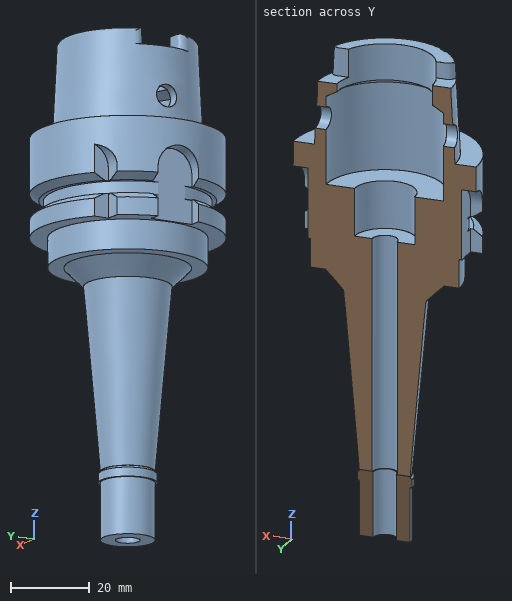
import cadquery as cq
import math

TOTAL_HEIGHT = 130.0
SHANK_LENGTH = 25.0
FLANGE_LENGTH = 26.0
BOSS_LENGTH = 7.8
NUT_TOP_Z = 18.0

FLANGE_TOP_Z = TOTAL_HEIGHT - SHANK_LENGTH
FLANGE_BOTTOM_Z = FLANGE_TOP_Z - FLANGE_LENGTH
BOSS_BOTTOM_Z = FLANGE_BOTTOM_Z - BOSS_LENGTH

SHANK_BASE_RADIUS = 19.2
SHANK_TAPER = 0.05
SHANK_TOP_RADIUS = SHANK_BASE_RADIUS - SHANK_TAPER * SHANK_LENGTH
RIM_FILLET = 1.0

DRIVE_SLOT_WIDTH = 10.4
DRIVE_SLOT_FILLET = 1.8
SHALLOW_SLOT_DEPTH = 4.4
DEEP_SLOT_DEPTH = 7.7

MOUTH_RADIUS = 13.0
MOUTH_DEPTH = 9.9
CLAMP_RADIUS = 16.0
CLAMP_FLOOR_DEPTH = 35.5
CLAMP_SHOULDER_ANGLE = 60.0
CLAMP_SHOULDER_LENGTH = (CLAMP_RADIUS - MOUTH_RADIUS) / math.tan(math.radians(CLAMP_SHOULDER_ANGLE))
CENTRE_BORE_RADIUS = 8.2
CENTRE_BORE_DEPTH = 13.0
HOLDER_HOLE_RADIUS = 3.4

CROSS_HOLE_RADIUS = 3.0
CROSS_HOLE_DEPTH = 17.5

FLANGE_DIAMETER = 50.0
FLANGE_RADIUS = FLANGE_DIAMETER / 2
GROOVE_RADIUS = 21.5
GROOVE_LEDGE_RADIUS = 22.6
GROOVE_CENTRE_DEPTH = 18.0
GROOVE_CENTRE_Z = FLANGE_TOP_Z - GROOVE_CENTRE_DEPTH
GROOVE_MOUTH_WIDTH = 6.8
GROOVE_FLOOR_WIDTH = 3.4

KEY_SLOT_WIDTH = 12.1
KEY_SLOT_TOP_Z = 98.2
KEY_FLOOR_X = 21.0
NOTCH_WALL = 15.5
NOTCH_CENTRE_Y = NOTCH_WALL + KEY_SLOT_WIDTH / 2

BOSS_RADIUS = 20.4
SHOULDER_RADIUS = 16.2
NECK_TOP_RADIUS = 11.3
NECK_BOTTOM_RADIUS = 7.0
NECK_TOP_Z = BOSS_BOTTOM_Z - (SHOULDER_RADIUS - NECK_TOP_RADIUS)

NUT_RADIUS = 7.0
NUT_COLLAR_RADIUS = 7.5
NUT_COLLAR_BOTTOM_Z = 15.0
NUT_CHAMFER = 0.6
NUT_HOLE_RADIUS = 3.1


def turned(profile):
    """Revolve an outline of (radius, height) points about the Z axis."""
    return cq.Workplane("YZ").polyline(profile).close().revolve(360, (0, 0), (0, 1))


def shank_cone():
    """Plain tapered cone standing on the flange."""
    return turned([
        (0, FLANGE_TOP_Z),
        (SHANK_BASE_RADIUS, FLANGE_TOP_Z),
        (SHANK_TOP_RADIUS, TOTAL_HEIGHT),
        (0, TOTAL_HEIGHT),
    ])


def drive_slot(side, depth):
    """Cutter for the drive slot on the -X (side = -1) or +X (side = 1) half of the rim."""
    return cq.Workplane("XY").box(SHANK_BASE_RADIUS, DRIVE_SLOT_WIDTH, depth).translate(
        (side * SHANK_BASE_RADIUS / 2, 0, TOTAL_HEIGHT - depth / 2)
    )


def slot_corner_edges(side, depth):
    """Selector for the two upright edges where the walls of a drive slot meet the taper."""
    middle_z = TOTAL_HEIGHT - depth / 2
    near = (side * MOUTH_RADIUS, -DRIVE_SLOT_WIDTH, middle_z - depth / 4)
    far = (side * SHANK_BASE_RADIUS, DRIVE_SLOT_WIDTH, middle_z + depth / 4)
    return cq.selectors.BoxSelector(near, far)


def make_shank():
    """Tapered shank with a rounded rim and two drive slots with rounded corners."""
    rounded_cone = shank_cone().faces(">Z").edges().fillet(RIM_FILLET)
    shank = shank_cone()
    for side, depth in ((-1, SHALLOW_SLOT_DEPTH), (1, DEEP_SLOT_DEPTH)):
        shank = shank.cut(drive_slot(side, depth))
        shank = shank.edges(slot_corner_edges(side, depth)).fillet(DRIVE_SLOT_FILLET)
    return shank.intersect(rounded_cone)


def make_holder_body():
    """Flange with its gripper groove, boss, shoulder and neck."""
    mouth = GROOVE_MOUTH_WIDTH / 2
    floor = GROOVE_FLOOR_WIDTH / 2
    return turned([
        (0, NUT_TOP_Z),
        (NECK_BOTTOM_RADIUS, NUT_TOP_Z),
        (NECK_TOP_RADIUS, NECK_TOP_Z),
        (SHOULDER_RADIUS, BOSS_BOTTOM_Z),
        (BOSS_RADIUS, BOSS_BOTTOM_Z),
        (BOSS_RADIUS, FLANGE_BOTTOM_Z),
        (FLANGE_RADIUS, FLANGE_BOTTOM_Z),
        (FLANGE_RADIUS, GROOVE_CENTRE_Z - mouth),
        (GROOVE_LEDGE_RADIUS, GROOVE_CENTRE_Z - floor),
        (GROOVE_RADIUS, GROOVE_CENTRE_Z - floor),
        (GROOVE_RADIUS, GROOVE_CENTRE_Z + floor),
        (GROOVE_LEDGE_RADIUS, GROOVE_CENTRE_Z + floor),
        (FLANGE_RADIUS, GROOVE_CENTRE_Z + mouth),
        (FLANGE_RADIUS, FLANGE_TOP_Z),
        (0, FLANGE_TOP_Z),
    ])


def flange_slot(floor_x, centre_y):
    """Cutter for a round-topped slot, open towards +X and at the flange bottom."""
    half = KEY_SLOT_WIDTH / 2
    arc_centre_z = KEY_SLOT_TOP_Z - half
    return (
        cq.Workplane("YZ", origin=(floor_x, centre_y, 0))
        .moveTo(-half, FLANGE_BOTTOM_Z)
        .lineTo(-half, arc_centre_z)
        .threePointArc((0, KEY_SLOT_TOP_Z), (half, arc_centre_z))
        .lineTo(half, FLANGE_BOTTOM_Z)
        .close()
        .extrude(FLANGE_RADIUS)
    )


def make_holder_bore():
    """Cutter for the stepped bore along the whole holder."""
    shoulder_top_z = TOTAL_HEIGHT - MOUTH_DEPTH
    clamp_floor_z = TOTAL_HEIGHT - CLAMP_FLOOR_DEPTH
    centre_bore_floor_z = clamp_floor_z - CENTRE_BORE_DEPTH
    return turned([
        (0, NUT_TOP_Z),
        (HOLDER_HOLE_RADIUS, NUT_TOP_Z),
        (HOLDER_HOLE_RADIUS, centre_bore_floor_z),
        (CENTRE_BORE_RADIUS, centre_bore_floor_z),
        (CENTRE_BORE_RADIUS, clamp_floor_z),
        (CLAMP_RADIUS, clamp_floor_z),
        (CLAMP_RADIUS, shoulder_top_z - CLAMP_SHOULDER_LENGTH),
        (MOUTH_RADIUS, shoulder_top_z),
        (MOUTH_RADIUS, TOTAL_HEIGHT),
        (0, TOTAL_HEIGHT),
    ])


def make_cross_hole():
    """Cutter for the hole through the shank along X."""
    axis_z = TOTAL_HEIGHT - CROSS_HOLE_DEPTH
    return (
        cq.Workplane("YZ", origin=(0, 0, axis_z))
        .circle(CROSS_HOLE_RADIUS)
        .extrude(SHANK_BASE_RADIUS, both=True)
    )


def make_holder():
    """Tool holder: shank, flange, neck and everything cut into them."""
    body = make_holder_body().union(make_shank())
    key_slot = flange_slot(KEY_FLOOR_X, 0)
    corner_notch = flange_slot(NOTCH_WALL, NOTCH_CENTRE_Y).mirror("YZ")
    for cutter in (
        key_slot,
        key_slot.mirror("YZ"),
        corner_notch,
        make_holder_bore(),
        make_cross_hole(),
    ):
        body = body.cut(cutter)
    return body


def make_nut():
    """Nut below the neck, with a chamfered collar and a through hole."""
    return turned([
        (NUT_HOLE_RADIUS, 0),
        (NUT_RADIUS, 0),
        (NUT_RADIUS, NUT_COLLAR_BOTTOM_Z),
        (NUT_COLLAR_RADIUS, NUT_COLLAR_BOTTOM_Z),
        (NUT_COLLAR_RADIUS, NUT_TOP_Z - NUT_CHAMFER),
        (NUT_COLLAR_RADIUS - NUT_CHAMFER, NUT_TOP_Z),
        (NUT_HOLE_RADIUS, NUT_TOP_Z),
    ])


holder = make_holder()
nut = make_nut()
result = cq.Compound.makeCompound([holder.val(), nut.val()])